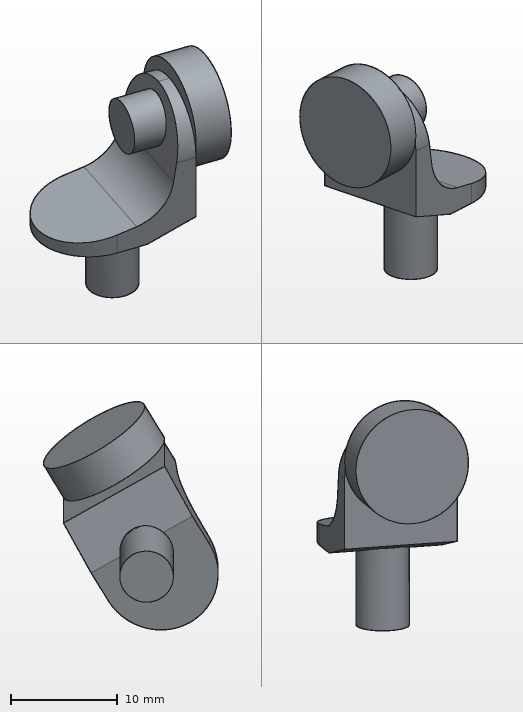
import cadquery as cq
import math

width = 11.0
half_width = width / 2
total_height = 23.0
foot_length = 13.98
disc_thickness = 3.7
disc_center_z = total_height - half_width

foot_z = 7.5
wall_top_z = 21.44
edge_thickness = 1.2
foot_rounding = 5.73
wall_rounding = 5.61
taper_angle = 8.5
fillet_radius = 4.6
wall_bottom_z = 9.06
ramp_length = 5.1

upper_pin_diameter = 5.4
upper_pin_reach = 5.01
lower_pin_diameter = 5.01
lower_pin_y = -6.0
pin_overlap = 0.45


def cylinder_along_y(radius, center_z, front_y, back_y):
    """Solid cylinder centred on X = 0 between two Y positions."""
    return (
        cq.Workplane("XZ", origin=(0, back_y, center_z))
        .circle(radius)
        .extrude(back_y - front_y)
    )


def rounded_outline(plane, direction, length, rounding):
    """Full-width tongue from the origin, ending in a half ellipse of the given depth."""
    shoulder = direction * (length - rounding)
    tongue = cq.Sketch().push([(0, shoulder / 2)]).rect(width, abs(shoulder)).reset()
    tongue = tongue.push([(0, shoulder)]).ellipse(rounding, half_width, 90).clean()
    return cq.Workplane(plane).placeSketch(tongue)


def make_bracket():
    """L-shaped bracket with tapered legs and rounded ends."""
    slope = math.tan(math.radians(taper_angle))
    foot_tip_z = foot_z + edge_thickness
    corner_y = -(
        edge_thickness + slope * (wall_top_z - foot_tip_z - slope * foot_length)
    ) / (1 - slope**2)
    corner_z = foot_tip_z + slope * (foot_length + corner_y)

    corner_angle = math.radians(90 + 2 * taper_angle)
    tangent_length = fillet_radius / math.tan(corner_angle / 2)
    along = tangent_length * math.cos(math.radians(taper_angle))
    across = tangent_length * math.sin(math.radians(taper_angle))
    wall_tangent = (corner_y + across, corner_z + along)
    foot_tangent = (corner_y - along, corner_z - across)
    bisector_gap = fillet_radius / math.sin(corner_angle / 2) - fillet_radius
    arc_offset = bisector_gap / math.sqrt(2)
    arc_middle = (corner_y - arc_offset, corner_z + arc_offset)

    body = (
        cq.Workplane("YZ")
        .moveTo(0, wall_top_z)
        .lineTo(-edge_thickness, wall_top_z)
        .lineTo(*wall_tangent)
        .threePointArc(arc_middle, foot_tangent)
        .lineTo(-foot_length, foot_tip_z)
        .lineTo(-foot_length, foot_z)
        .lineTo(-ramp_length, foot_z)
        .lineTo(0, wall_bottom_z)
        .close()
        .extrude(half_width, both=True)
    )

    foot_outline = rounded_outline("XY", -1, foot_length, foot_rounding).extrude(total_height)
    wall_outline = rounded_outline("XZ", 1, wall_top_z, wall_rounding).extrude(foot_length)
    return body.intersect(foot_outline).intersect(wall_outline)


disc = cylinder_along_y(half_width, disc_center_z, 0, disc_thickness)
upper_pin = cylinder_along_y(upper_pin_diameter / 2, disc_center_z, -upper_pin_reach, 0)
lower_pin = (
    cq.Workplane("XY", origin=(0, lower_pin_y, 0))
    .circle(lower_pin_diameter / 2)
    .extrude(foot_z + pin_overlap)
)

result = make_bracket().union(disc).union(upper_pin).union(lower_pin)